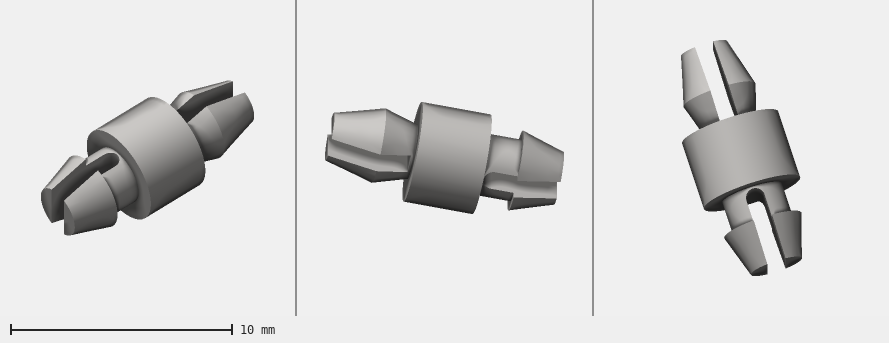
import cadquery as cq

front_head_length = 1.98
neck_length = 1.57
collar_length = 3.17
rear_taper_length = 1.57
rear_head_length = 2.25

front_tip_radius = 1.21
front_head_radius = 1.83
neck_radius = 1.41
collar_radius = 2.29
rear_base_radius = 1.24
rear_head_radius = 1.71
rear_tip_radius = 1.1

slot_width = 0.86
front_slot_depth = 3.46
rear_slot_depth = 3.67

front_head_end = front_head_length
collar_start = front_head_end + neck_length
collar_end = collar_start + collar_length
rear_head_start = collar_end + rear_taper_length
total_length = rear_head_start + rear_head_length


def turned_body():
    """Revolve the half profile about the Y axis."""
    profile = [
        (0, 0),
        (front_tip_radius, 0),
        (front_head_radius, front_head_end),
        (neck_radius, front_head_end),
        (neck_radius, collar_start),
        (collar_radius, collar_start),
        (collar_radius, collar_end),
        (rear_base_radius, collar_end),
        (rear_head_radius, rear_head_start),
        (rear_tip_radius, total_length),
        (0, total_length),
    ]
    return cq.Workplane("XY").polyline(profile).close().revolve(360, (0, 0), (0, 1))


def through_slot(start, end):
    """Box-shaped slot between two Y stations, passing through the part along Z."""
    return cq.Workplane("XY").box(slot_width, end - start, 2 * collar_radius).translate(
        (0, (start + end) / 2, 0)
    )


def front_slot():
    """Slot open at the front tip, with a full-round bottom."""
    round_center = front_slot_depth - slot_width / 2
    round_bottom = (
        cq.Workplane("XY", origin=(0, 0, -collar_radius))
        .center(0, round_center)
        .circle(slot_width / 2)
        .extrude(2 * collar_radius)
    )
    return through_slot(0, round_center).union(round_bottom)


def rear_slot():
    """Slot open at the rear tip, with a flat bottom."""
    return through_slot(total_length - rear_slot_depth, total_length)


result = turned_body().cut(front_slot()).cut(rear_slot())